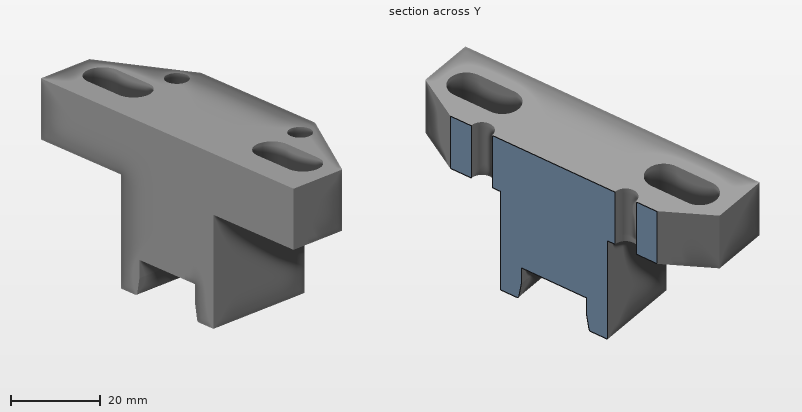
import cadquery as cq
import math

plate_length = 82.0
plate_depth = 28.0
plate_thickness = 15.0
end_face_depth = 15.0
corner_angle = 30.0

total_height = 43.0
stem_width = 30.0

channel_width = 18.0
channel_height = 9.0
lead_in_height = 4.5
lead_in_angle = 10.0
lead_in_radius = 0.6

slot_length = 19.0
slot_width = 9.0
slot_x = 27.5
slot_y = 11.0
hole_diameter = 5.8
hole_x = 20.0
hole_y = 22.0

plate_bottom = total_height - plate_thickness


def make_plate():
    """Plate with both rear corners cut off at an angle; its front face is at Y = 0."""
    half_length = plate_length / 2
    corner_run = (plate_depth - end_face_depth) / math.tan(math.radians(corner_angle))
    half_rear = half_length - corner_run
    outline = [
        (-half_length, 0),
        (half_length, 0),
        (half_length, end_face_depth),
        (half_rear, plate_depth),
        (-half_rear, plate_depth),
        (-half_length, end_face_depth),
    ]
    return (
        cq.Workplane("XY")
        .workplane(offset=plate_bottom)
        .polyline(outline)
        .close()
        .extrude(plate_thickness)
    )


def make_stem():
    """Stem whose underside has a channel with flared, rounded mouth edges."""
    half_stem = stem_width / 2
    half_channel = channel_width / 2
    half_mouth = half_channel + lead_in_height * math.tan(math.radians(lead_in_angle))
    outline = [
        (-half_stem, plate_bottom),
        (-half_stem, 0),
        (-half_mouth, 0),
        (-half_channel, lead_in_height),
        (-half_channel, channel_height),
        (half_channel, channel_height),
        (half_channel, lead_in_height),
        (half_mouth, 0),
        (half_stem, 0),
        (half_stem, plate_bottom),
    ]
    stem = cq.Workplane("XZ").polyline(outline).close().extrude(-plate_depth)
    middle = plate_depth / 2
    for side in (-1, 1):
        mouth_edge = cq.selectors.NearestToPointSelector((side * half_mouth, middle, 0))
        stem = stem.edges(mouth_edge).fillet(lead_in_radius)
    return stem


def cut_openings(body):
    """Cut the mirrored mounting slots and round holes through the plate."""
    top = cq.Workplane("XY").workplane(offset=total_height)
    slots = (
        top.pushPoints([(-slot_x, slot_y), (slot_x, slot_y)])
        .slot2D(slot_length, slot_width)
        .extrude(-plate_thickness)
    )
    holes = (
        top.pushPoints([(-hole_x, hole_y), (hole_x, hole_y)])
        .circle(hole_diameter / 2)
        .extrude(-plate_thickness)
    )
    return body.cut(slots).cut(holes)


result = cut_openings(make_plate().union(make_stem()))